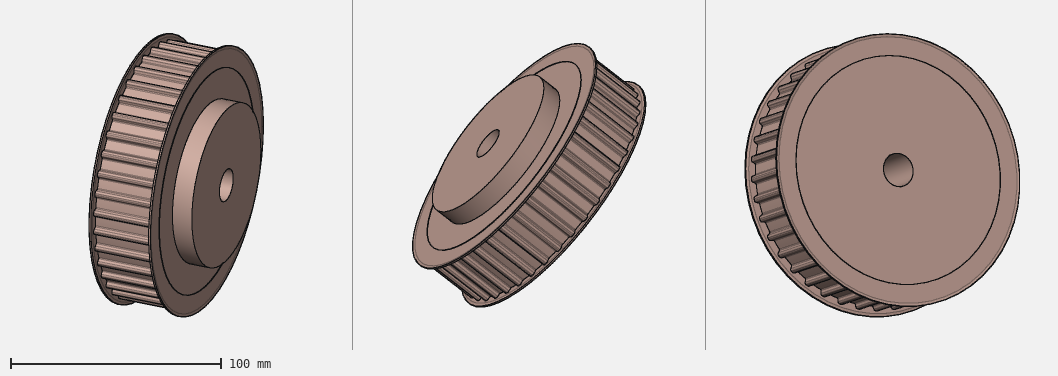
import cadquery as cq
import math


rim_width = 32.0
hub_length = 10.1
total_length = rim_width + hub_length

flange_radius = 65.5
flange_bend_radius = 64.0
tooth_tip_radius = 62.7
core_radius = 55.0
hub_radius = 40.0
bore_radius = 8.0

flange_thickness = 0.9
flange_lean = 0.3

tooth_count = 40
tooth_depth = 2.4
tooth_tip_width = 2.4
groove_angle = 50.0
tip_fillet = 1.2
root_fillet = 0.5

tooth_root_radius = tooth_tip_radius - tooth_depth
tooth_pitch_angle = 360.0 / tooth_count
flank_angle = (groove_angle - tooth_pitch_angle) / 2
flange_inner_face = flange_lean + flange_thickness
tooth_length = rim_width - 2 * flange_inner_face


def cylinder(radius, start, end):
    """Solid cylinder about the X axis from x = start to x = end."""
    return cq.Workplane("YZ", origin=(start, 0, 0)).circle(radius).extrude(end - start)


def tooth_blank():
    """One sharp tooth pointing along +Y, running past both the root and tip radii."""
    overrun = tooth_depth / 2
    flank_slope = math.tan(math.radians(flank_angle))
    inner_radius = tooth_root_radius - overrun
    outer_radius = tooth_tip_radius + overrun / 2
    inner_half_width = tooth_tip_width / 2 + (tooth_tip_radius - inner_radius) * flank_slope
    outer_half_width = tooth_tip_width / 2 - (outer_radius - tooth_tip_radius) * flank_slope
    return (
        cq.Workplane("YZ", origin=(flange_inner_face, 0, 0))
        .moveTo(inner_radius, -inner_half_width)
        .lineTo(outer_radius, -outer_half_width)
        .lineTo(outer_radius, outer_half_width)
        .lineTo(inner_radius, inner_half_width)
        .close()
        .extrude(tooth_length)
    )


def tooth():
    """One tooth with a rounded tip, trimmed to the tip radius."""
    envelope = cylinder(tooth_tip_radius, flange_inner_face, flange_inner_face + tooth_length)
    trimmed = tooth_blank().intersect(envelope)
    tip_edge_radius = tooth_tip_radius - tooth_depth / 2
    tip_edges = trimmed.edges("|X").filter(lambda edge: edge.Center().y > tip_edge_radius)
    return trimmed.newObject(tip_edges.vals()).fillet(tip_fillet)


def toothed_rim():
    """Root cylinder carrying all teeth, with a tooth space centred on the Y and Z axes."""
    root_cylinder = cylinder(tooth_root_radius, flange_inner_face, flange_inner_face + tooth_length)
    single_tooth = tooth()
    teeth = []
    for index in range(tooth_count):
        angle = (index + 0.5) * tooth_pitch_angle
        teeth.append(single_tooth.rotate((0, 0, 0), (1, 0, 0), angle).val())
    rim = root_cylinder.newObject([root_cylinder.val().fuse(*teeth)])

    def is_root_edge(edge):
        centre = edge.Center()
        return abs(math.hypot(centre.y, centre.z) - tooth_root_radius) < root_fillet / 10

    root_edges = rim.edges("|X").filter(is_root_edge)
    return rim.newObject(root_edges.vals()).fillet(root_fillet)


def flange():
    """Flange at the x = 0 end: a flat disc with its edge leaning towards -X."""
    return (
        cq.Workplane("XY")
        .moveTo(flange_lean, 0)
        .lineTo(flange_lean, flange_bend_radius)
        .lineTo(0, flange_radius)
        .lineTo(flange_thickness, flange_radius)
        .lineTo(flange_inner_face, flange_bend_radius)
        .lineTo(flange_inner_face, 0)
        .close()
        .revolve(360, (0, 0, 0), (1, 0, 0))
    )


near_flange = flange()
far_flange = near_flange.mirror("YZ").translate((rim_width, 0, 0))
core = cylinder(core_radius, 0, rim_width)
hub = cylinder(hub_radius, rim_width / 2, total_length)
bore = cylinder(bore_radius, 0, total_length)

result = toothed_rim().union(near_flange).union(far_flange).union(core).union(hub).cut(bore)